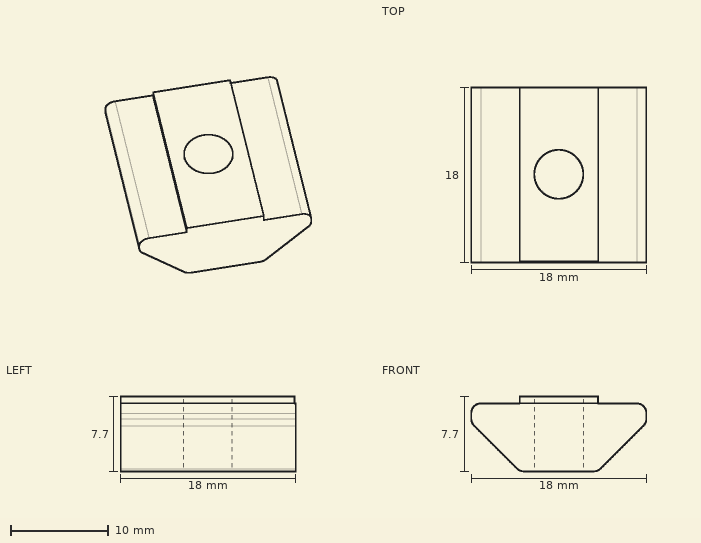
import cadquery as cq

width = 18.0
length = 18.0
total_height = 7.7

strip_width = 8.06
strip_height = 0.7
strip_setback = 0.15
strip_center_y = strip_setback / 2

body_height = total_height - strip_height
side_height = 2.0
flank_drop = body_height - side_height
bottom_half_width = width / 2 - flank_drop
edge_radius = 1.0

hole_diameter = 5.0


def make_body():
    """Extrude the trapezoidal section along Y and round its long edges."""
    outline = [
        (-bottom_half_width, 0),
        (bottom_half_width, 0),
        (width / 2, flank_drop),
        (width / 2, body_height),
        (-width / 2, body_height),
        (-width / 2, flank_drop),
    ]
    body = cq.Workplane("XZ").polyline(outline).close().extrude(length / 2, both=True)
    return body.edges("|Y").fillet(edge_radius)


def make_strip():
    """Strip on top of the body, flush with the +Y end face."""
    strip_length = length - strip_setback
    return (
        cq.Workplane("XY")
        .box(strip_width, strip_length, strip_height, centered=(True, True, False))
        .translate((0, strip_center_y, body_height))
    )


def make_hole():
    """Vertical through hole centred on the strip."""
    return cq.Workplane("XY").center(0, strip_center_y).circle(hole_diameter / 2).extrude(total_height)


result = make_body().union(make_strip()).cut(make_hole())